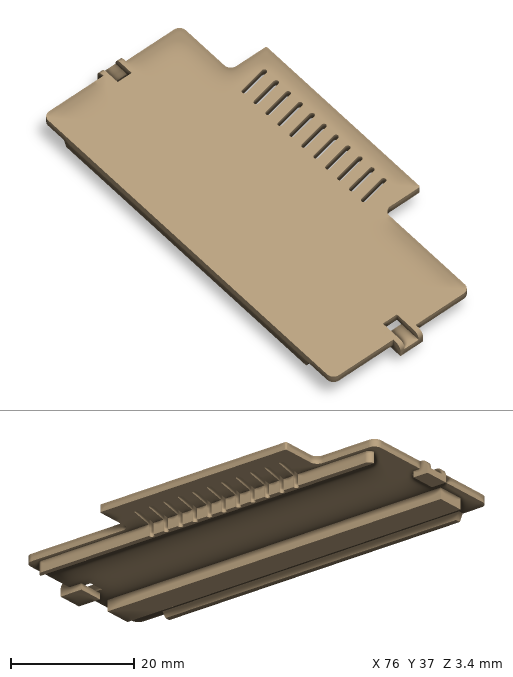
import cadquery as cq


plate_width = 72.65
plate_depth = 29.25
plate_thickness = 1.4
corner_radius = 1.4
neck_width = 38.6
neck_depth = 7.75
neck_center_x = -4.6
neck_corner_radius = 0.3
neck_root_radius = 1.4

slot_count = 11
slot_row_span = 29.95
slot_length = 6.15
slot_width = 0.9
slot_lean = 12.0
slot_setback = 6.2

tab_center_y = 15.3
tab_width = 4.8
tab_height = 2.5
tab_edge_radius = 1.2
left_tab_overhang = 1.5
left_tab_root = 1.4
right_tab_overhang = 1.8
right_tab_root = 2.5
notch_width = 3.0
notch_gap = 1.15

full_height = 3.4
bar_length = 69.0
bar_width = 5.2
bar_front_y = 4.9
rib_thickness = 1.0
rear_rib_inset = 0.8
front_rib_length = 61.4
front_rib_height = 1.4
front_rib_draft = 0.6
front_rib_center_x = -0.45
front_rib_inset = 0.1

overall_depth = plate_depth + neck_depth
rib_depth = full_height - plate_thickness


def box(x_min, x_max, y_min, y_max, z_min, z_max):
    """Axis-aligned block between the given limits."""
    size = (x_max - x_min, y_max - y_min, z_max - z_min)
    return cq.Workplane("XY").box(*size, centered=False).translate((x_min, y_min, z_min))


def make_plate():
    """Main plate with the narrower neck at its rear edge."""
    half_width = plate_width / 2
    neck_left = neck_center_x - neck_width / 2
    neck_right = neck_center_x + neck_width / 2
    plate = box(-half_width, half_width, 0, plate_depth, -plate_thickness, 0)
    plate = plate.edges("|Z").fillet(corner_radius)
    neck = box(neck_left, neck_right, plate_depth / 2, overall_depth, -plate_thickness, 0)
    neck = neck.edges("|Z and >Y").fillet(neck_corner_radius)
    root_edges = cq.selectors.BoxSelector(
        (neck_left - neck_root_radius, plate_depth - neck_root_radius, -full_height),
        (neck_right + neck_root_radius, plate_depth + neck_root_radius, full_height),
    )
    return plate.union(neck).edges("|Z").edges(root_edges).fillet(neck_root_radius)


def make_vent_slots():
    """Row of leaning slots, centered on the neck and passing through everything below."""
    pitch = slot_row_span / (slot_count - 1)
    centers = [((i - (slot_count - 1) / 2) * pitch, 0) for i in range(slot_count)]
    return (
        cq.Workplane("XY", origin=(neck_center_x, overall_depth - slot_setback, 0))
        .pushPoints(centers)
        .slot2D(slot_length, slot_width, 90 + slot_lean)
        .extrude(-full_height)
    )


def add_tab(body, side, overhang, root):
    """Snap tab on one short side (side is -1 for left, +1 for right) with its notch."""
    edge_x = plate_width / 2
    tip_x = edge_x + overhang
    root_x = edge_x - root
    tab_front = tab_center_y - tab_width / 2
    tab_rear = tab_center_y + tab_width / 2
    tab = box(root_x, tip_x, tab_front, tab_rear, -tab_height, 0)
    tab = tab.edges(">X and >Z").fillet(tab_edge_radius)
    notch_front = tab_center_y - notch_width / 2
    notch_rear = tab_center_y + notch_width / 2
    notch = box(root_x - notch_gap, tip_x, notch_front, notch_rear, -plate_thickness, 0)
    if side < 0:
        tab = tab.mirror("YZ")
        notch = notch.mirror("YZ")
    return body.union(tab).cut(notch)


def make_bar():
    """Wide bar running along the underside."""
    half_length = bar_length / 2
    return box(
        -half_length, half_length, bar_front_y, bar_front_y + bar_width, -full_height, -plate_thickness
    )


def make_rear_rib():
    """Thin rib near the rear shoulders; its ends round off toward the rear."""
    half_length = bar_length / 2
    rear_y = plate_depth - rear_rib_inset
    front_y = rear_y - rib_thickness
    return (
        cq.Workplane("XY", origin=(0, 0, -plate_thickness))
        .moveTo(-half_length, front_y)
        .lineTo(half_length, front_y)
        .radiusArc((half_length - rib_thickness, rear_y), -rib_thickness)
        .lineTo(rib_thickness - half_length, rear_y)
        .radiusArc((-half_length, front_y), -rib_thickness)
        .close()
        .extrude(-rib_depth)
    )


def make_front_rib():
    """Thin rib set just behind the front edge, with sloping ends."""
    top_half = front_rib_length / 2
    bottom_half = top_half - front_rib_draft
    bottom_z = -plate_thickness - front_rib_height
    return (
        cq.Workplane("XZ", origin=(front_rib_center_x, front_rib_inset, 0))
        .polyline(
            [
                (-top_half, -plate_thickness),
                (top_half, -plate_thickness),
                (bottom_half, bottom_z),
                (-bottom_half, bottom_z),
            ]
        )
        .close()
        .extrude(-rib_thickness)
    )


result = make_plate().union(make_bar()).union(make_rear_rib()).union(make_front_rib())
result = result.cut(make_vent_slots())
result = add_tab(result, -1, left_tab_overhang, left_tab_root)
result = add_tab(result, 1, right_tab_overhang, right_tab_root)